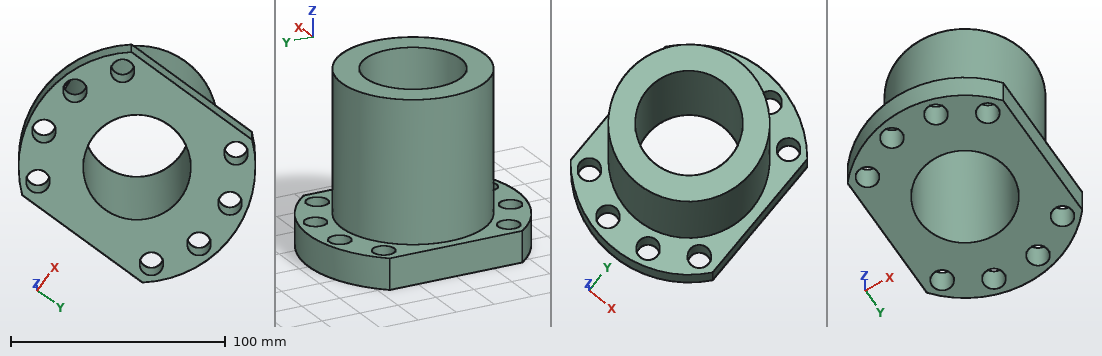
import cadquery as cq

total_height = 89.0
body_diameter = 75.0
bore_diameter = 50.0
flange_diameter = 110.0
flange_width = 85.0
flange_thickness = 16.0

bolt_circle_diameter = 93.0
bolt_hole_diameter = 11.0
bolt_angles = (45.0, 75.0, 105.0, 135.0)


def make_flange():
    """Round flange cut to two flats parallel to the YZ plane."""
    disc = cq.Workplane("XY").circle(flange_diameter / 2).extrude(flange_thickness)
    flats = cq.Workplane("XY").rect(flange_width, flange_diameter).extrude(flange_thickness)
    return disc.intersect(flats)


def make_body():
    """Cylindrical nut body standing on the flange axis."""
    return cq.Workplane("XY").circle(body_diameter / 2).extrude(total_height)


def make_bore():
    """Through bore along the axis."""
    return cq.Workplane("XY").circle(bore_diameter / 2).extrude(total_height)


def make_bolt_holes():
    """Two mirrored groups of through holes on the bolt circle."""
    holes = cq.Workplane("XY")
    for side_angle in (0.0, 180.0):
        for angle in bolt_angles:
            hole = (
                cq.Workplane("XY")
                .center(bolt_circle_diameter / 2, 0)
                .circle(bolt_hole_diameter / 2)
                .extrude(flange_thickness)
                .rotate((0, 0, 0), (0, 0, 1), side_angle + angle)
            )
            holes = holes.add(hole)
    return holes.combine()


result = make_flange().union(make_body()).cut(make_bore()).cut(make_bolt_holes())